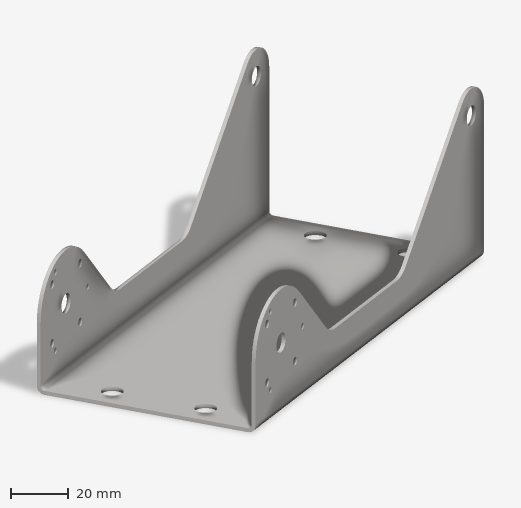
import cadquery as cq
import math

width = 84.2
length = 180.0
height = 67.0
sheet = 1.5
inner_bend_radius = sheet
outer_bend_radius = inner_bend_radius + sheet

pivot_ear_radius = 10.0
motor_ear_radius = 20.0
motor_axis_z = 26.6
waist_height = 16.5
waist_fillet = 10.0
slope_angle = math.radians(45)

pivot_y = length / 2 - pivot_ear_radius
pivot_z = height - pivot_ear_radius
motor_y = -length / 2 + motor_ear_radius

pivot_hole_diameter = 7.2
motor_hole_diameter = 7.2
square_hole_diameter = 3.0
square_hole_pitch = 22.0
ring_hole_diameter = 2.2
ring_hole_radius = 17.0
ring_hole_count = 3
base_hole_diameter = 8.0
base_hole_pitch_x = 36.0
base_hole_pitch_y = 160.0


def ear_point(center_y, center_z, radius, angle):
    """Point on an ear's rim, with the angle measured from +Y toward +Z."""
    return (center_y + radius * math.cos(angle), center_z + radius * math.sin(angle))


def waist_corner(tangent_point, direction):
    """Where a slope leaving an ear's tangent point meets the waist height."""
    y, z = tangent_point
    return (y + direction * (z - waist_height) / math.tan(slope_angle), waist_height)


def make_channel():
    """U-shaped channel with rounded bends, running along Y."""
    inner_width = width - 2 * sheet
    outer = (
        cq.Workplane("XY")
        .box(width, length, height, centered=(True, True, False))
        .edges("|Y and <Z")
        .fillet(outer_bend_radius)
    )
    inner = (
        cq.Workplane("XY")
        .workplane(offset=sheet)
        .box(inner_width, length, height, centered=(True, True, False))
        .edges("|Y and <Z")
        .fillet(inner_bend_radius)
    )
    return outer.cut(inner)


def make_wall_profile():
    """Side wall outline, extruded across the whole width."""
    pivot_normal = math.pi / 2 + slope_angle
    motor_normal = math.pi / 2 - slope_angle
    pivot_tangent = ear_point(pivot_y, pivot_z, pivot_ear_radius, pivot_normal)
    motor_tangent = ear_point(motor_y, motor_axis_z, motor_ear_radius, motor_normal)
    pivot_rim = ear_point(pivot_y, pivot_z, pivot_ear_radius, pivot_normal / 2)
    motor_rim = ear_point(motor_y, motor_axis_z, motor_ear_radius, (motor_normal + math.pi) / 2)
    pivot_corner = waist_corner(pivot_tangent, -1)
    motor_corner = waist_corner(motor_tangent, 1)

    profile = (
        cq.Workplane("YZ")
        .moveTo(-length / 2, 0)
        .lineTo(length / 2, 0)
        .lineTo(length / 2, pivot_z)
        .threePointArc(pivot_rim, pivot_tangent)
        .lineTo(*pivot_corner)
        .lineTo(*motor_corner)
        .lineTo(*motor_tangent)
        .threePointArc(motor_rim, (-length / 2, motor_axis_z))
        .close()
        .extrude(width / 2, both=True)
    )
    for y, z in (pivot_corner, motor_corner):
        profile = profile.edges(cq.NearestToPointSelector((0, y, z))).fillet(waist_fillet)
    return profile


def wall_drill(y, z, diameter):
    """Cylinder through both side walls, parallel to X."""
    return cq.Workplane("YZ").center(y, z).circle(diameter / 2).extrude(width, both=True)


def cut_motor_holes(body):
    """Shaft hole, square of four holes and ring of three small holes."""
    body = body.cut(wall_drill(motor_y, motor_axis_z, motor_hole_diameter))
    for side_y in (-1, 1):
        for side_z in (-1, 1):
            y = motor_y + side_y * square_hole_pitch / 2
            z = motor_axis_z + side_z * square_hole_pitch / 2
            body = body.cut(wall_drill(y, z, square_hole_diameter))
    for index in range(ring_hole_count):
        angle = index * 2 * math.pi / ring_hole_count
        y, z = ear_point(motor_y, motor_axis_z, ring_hole_radius, angle)
        body = body.cut(wall_drill(y, z, ring_hole_diameter))
    return body


def cut_base_holes(body):
    """Four mounting holes through the floor."""
    drills = (
        cq.Workplane("XY")
        .rarray(base_hole_pitch_x, base_hole_pitch_y, 2, 2)
        .circle(base_hole_diameter / 2)
        .extrude(outer_bend_radius)
    )
    return body.cut(drills)


bracket = make_channel().intersect(make_wall_profile())
bracket = bracket.cut(wall_drill(pivot_y, pivot_z, pivot_hole_diameter))
bracket = cut_motor_holes(bracket)
result = cut_base_holes(bracket)